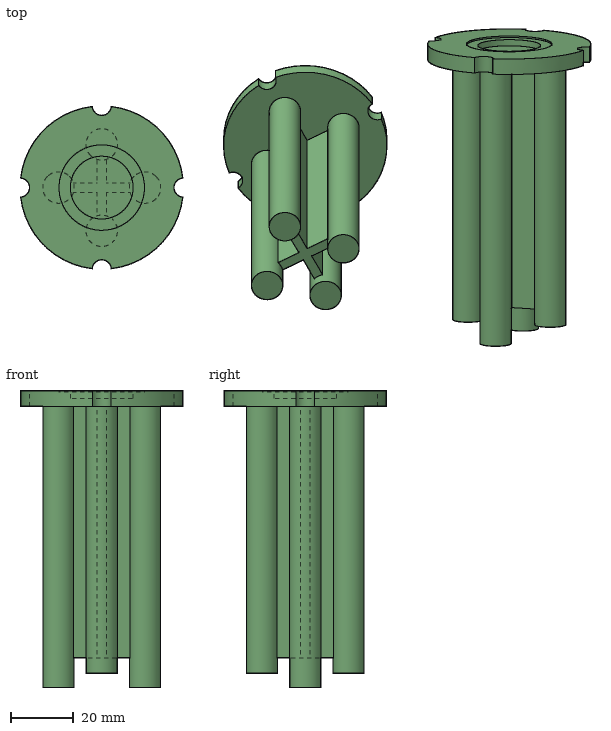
import cadquery as cq

flange_diameter = 52.0
flange_thickness = 5.0
notch_diameter = 6.0

outer_recess_diameter = 27.2
outer_recess_depth = 0.5
inner_recess_diameter = 20.0
inner_recess_depth = 2.5

pin_diameter = 10.0
pin_circle_radius = 13.75
x_pin_bottom = -94.5
y_pin_bottom = -90.0
web_thickness = 3.0
web_bottom = -85.0


def four_around(radius):
    """Points on the +X, +Y, -X and -Y axes at the given radius."""
    return [(radius, 0), (0, radius), (-radius, 0), (0, -radius)]


def make_flange():
    """Round plate with four half-round notches in its rim."""
    plate = cq.Workplane("XY").circle(flange_diameter / 2).extrude(-flange_thickness)
    notches = (
        cq.Workplane("XY")
        .pushPoints(four_around(flange_diameter / 2))
        .circle(notch_diameter / 2)
        .extrude(-flange_thickness)
    )
    return plate.cut(notches)


def make_recess():
    """Wide shallow step with a narrower, deeper round pocket inside it."""
    outer = cq.Workplane("XY").circle(outer_recess_diameter / 2).extrude(-outer_recess_depth)
    inner = cq.Workplane("XY").circle(inner_recess_diameter / 2).extrude(-inner_recess_depth)
    return outer.union(inner)


def make_pin_pair(points, bottom):
    """Round pins from the flange underside down to the given level."""
    return (
        cq.Workplane("XY", origin=(0, 0, -flange_thickness))
        .pushPoints(points)
        .circle(pin_diameter / 2)
        .extrude(bottom + flange_thickness)
    )


def make_web():
    """Two crossed plates reaching from pin centre to pin centre."""
    span = 2 * pin_circle_radius
    height = -flange_thickness - web_bottom
    base = cq.Workplane("XY", origin=(0, 0, web_bottom))
    x_plate = base.rect(span, web_thickness).extrude(height)
    y_plate = base.rect(web_thickness, span).extrude(height)
    return x_plate.union(y_plate)


pin_points = four_around(pin_circle_radius)
x_pins = make_pin_pair(pin_points[0::2], x_pin_bottom)
y_pins = make_pin_pair(pin_points[1::2], y_pin_bottom)

result = make_flange().union(make_web()).union(x_pins).union(y_pins).cut(make_recess())